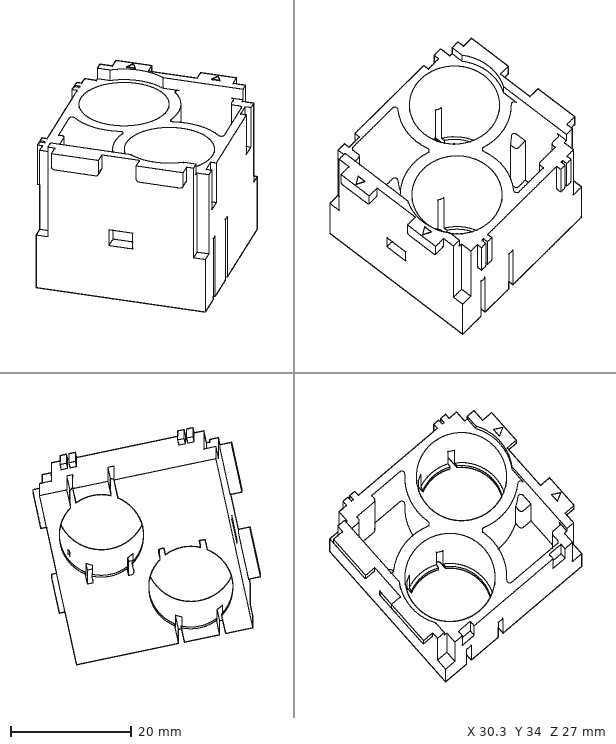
import cadquery as cq
import math

BODY_X = 29.4
BODY_Y = 30.0
DECK_Z = 25.0
TOP_Z = 27.0
WALL = 1.5
HALF_X = BODY_X / 2
HALF_Y = BODY_Y / 2

BORE_X = 5.85
BORE_Y = 6.35
BORE_R = 7.5
LIP_R = 7.0
LIP_Z = 1.5
LIP_SLOPE = 38.0
RELIEF_R = 8.5

SLOT_OFFSET = 3.5
SLOT_W = 1.0
SLOT_TOP = 11.5
SLOT_ROUND = SLOT_W / 2

NOTCH = 2.05
NOTCH_Z = 10.0

WINDOW_W = 4.1
WINDOW_Z0 = 10.0
WINDOW_Z1 = 13.0
WINDOW_DEPTH = 2.35

POCKET_FLOOR = 1.5
POCKET_R = 9.45
POCKET_REACH = 2.0
CORNER_ROUND = 0.5
COLUMN_X = HALF_X - NOTCH - WALL
COLUMN_Y = 11.3
THICKENING = 1.1
THICKENING_Y = 7.05

TAB_X = 7.35
TAB_REACH = 2.0
TAB_H = 3.0
TAB_ROUND = 0.5
FRONT_TAB_W = 8.15
BACK_TAB_W = 6.25
ARROW_W = 1.5
ARROW_H = 1.4
ARROW_GAP = 0.35
ARROW_DEPTH = 0.1

RAIL_Y = 10.0
RAIL_W = 2.6
RAIL_GAP = 0.4
RAIL_REACH = 0.9
RAIL_H = 7.5
RECESS_DEPTH = 1.0

SIDES = (-1, 1)


def block(x0, x1, y0, y1, z0, z1):
    """Box between two opposite corners."""
    size = (x1 - x0, y1 - y0, z1 - z0)
    return cq.Workplane("XY").box(*size, centered=False).translate((x0, y0, z0))


def cylinder(x, y, radius, z0, z1):
    """Upright cylinder between two heights."""
    return cq.Workplane("XY", origin=(x, y, z0)).circle(radius).extrude(z1 - z0)


def half_turn(shape):
    """Copy of a shape turned 180 degrees about the Z axis."""
    return shape.rotate((0, 0, 0), (0, 0, 1), 180)


def cut_both(part, cutter):
    """Cut a shape and its half-turn copy."""
    return part.cut(cutter).cut(half_turn(cutter))


def make_body():
    """Block with raised front and back walls and notched corners."""
    body = block(-HALF_X, HALF_X, -HALF_Y, HALF_Y, 0, TOP_Z)
    inner_y = HALF_Y - WALL
    body = body.cut(block(-HALF_X, HALF_X, -inner_y, inner_y, DECK_Z, TOP_Z))
    for side in SIDES:
        corner = block(HALF_X - NOTCH, HALF_X, HALF_Y - NOTCH, HALF_Y, NOTCH_Z, TOP_Z)
        if side < 0:
            corner = corner.mirror("YZ")
        body = cut_both(body, corner)
    return body


def bore_cutter():
    """Stepped bore near the (-X, +Y) corner, with a sloped lip on the two tongues."""
    ramp_h = (BORE_R - LIP_R) / math.tan(math.radians(LIP_SLOPE))
    tongue_half = SLOT_OFFSET - SLOT_W / 2
    lip = cylinder(0, 0, BORE_R, LIP_Z, LIP_Z + ramp_h)
    funnel = (
        cq.Workplane("XZ")
        .polyline([(0, LIP_Z), (LIP_R, LIP_Z), (BORE_R, LIP_Z + ramp_h), (0, LIP_Z + ramp_h)])
        .close()
        .revolve(360, (0, 0, 0), (0, 1, 0))
    )
    tongues = block(-BORE_R, BORE_R, -tongue_half, tongue_half, LIP_Z, LIP_Z + ramp_h)
    ramps = lip.cut(funnel).intersect(tongues)
    bore = cylinder(0, 0, BORE_R, LIP_Z, TOP_Z).cut(ramps)
    bore = bore.union(cylinder(0, 0, LIP_R, 0, LIP_Z))
    bore = bore.union(cylinder(0, 0, RELIEF_R, DECK_Z, TOP_Z))
    return bore.translate((-BORE_X, BORE_Y, 0))


def slot_cutter(side):
    """Slot from the -X face through to the far side of the bore."""
    middle = BORE_Y + side * SLOT_OFFSET
    slot = block(-HALF_X, BORE_R - BORE_X, middle - SLOT_W / 2, middle + SLOT_W / 2, 0, SLOT_TOP)
    if side < 0:
        slot = slot.edges("|Z and >X and <Y").fillet(SLOT_ROUND)
    return slot


def window_cutter():
    """Blind window in the back wall."""
    return block(-WINDOW_W / 2, WINDOW_W / 2, HALF_Y - WINDOW_DEPTH, HALF_Y, WINDOW_Z0, WINDOW_Z1)


def pocket_cutter(thickened):
    """Pocket in the (+X, +Y) corner, optionally with a thicker side wall near the corner."""
    wall_x = HALF_X - WALL
    wall_y = HALF_Y - WALL
    pocket = block(0, wall_x, -POCKET_REACH, wall_y, POCKET_FLOOR, DECK_Z)
    for side in SIDES:
        pocket = pocket.cut(cylinder(side * BORE_X, -side * BORE_Y, POCKET_R, 0, TOP_Z))
    pocket = pocket.cut(block(COLUMN_X, HALF_X, COLUMN_Y, HALF_Y, 0, TOP_Z))
    pocket = pocket.edges("|Z").fillet(CORNER_ROUND)
    if thickened:
        pad = block(wall_x - THICKENING, HALF_X, THICKENING_Y, HALF_Y, 0, TOP_Z)
        pocket = pocket.cut(pad.edges("|Z and <X and <Y").fillet(CORNER_ROUND))
    casing_x = WINDOW_W / 2 + WALL
    casing = block(0, casing_x, COLUMN_Y, HALF_Y, 0, WINDOW_Z1 + WALL)
    casing = casing.edges("|Z and >X and <Y").fillet(CORNER_ROUND)
    return pocket.cut(casing)


def latch_tab(x, width):
    """Tab on the back wall with its lower corners rounded."""
    tab = block(x - width / 2, x + width / 2, HALF_Y, HALF_Y + TAB_REACH, TOP_Z - TAB_H, TOP_Z)
    return tab.edges("|Y and <Z").fillet(TAB_ROUND)


def arrow_cutter(x):
    """Shallow arrow in the top of a back tab, pointing outward."""
    base = HALF_Y + ARROW_GAP
    return (
        cq.Workplane("XY", origin=(x, base, TOP_Z - ARROW_DEPTH))
        .polyline([(-ARROW_W / 2, 0), (ARROW_W / 2, 0), (0, ARROW_H)])
        .close()
        .extrude(ARROW_DEPTH)
    )


def coupling_rail(y):
    """Pair of ribs split by a narrow gap on the -X face."""
    z0 = DECK_Z - RAIL_H
    outer_x = -HALF_X - RAIL_REACH
    rail = block(outer_x, -HALF_X, y - RAIL_W / 2, y + RAIL_W / 2, z0, DECK_Z)
    return rail.cut(block(outer_x, -HALF_X, y - RAIL_GAP / 2, y + RAIL_GAP / 2, z0, DECK_Z))


def rail_recess(y):
    """Recess in the +X face that takes a rail."""
    return block(HALF_X - RECESS_DEPTH, HALF_X, y - RAIL_W / 2, y + RAIL_W / 2, DECK_Z - RAIL_H, DECK_Z)


result = make_body()
result = result.cut(pocket_cutter(False))
result = result.cut(half_turn(pocket_cutter(True)))
result = cut_both(result, bore_cutter())
result = cut_both(result, window_cutter())
for side in SIDES:
    result = cut_both(result, slot_cutter(side))
    result = result.union(latch_tab(side * TAB_X, BACK_TAB_W))
    result = result.union(half_turn(latch_tab(side * TAB_X, FRONT_TAB_W)))
    result = result.cut(arrow_cutter(side * TAB_X))
    result = result.union(coupling_rail(side * RAIL_Y))
    result = result.cut(rail_recess(side * RAIL_Y))